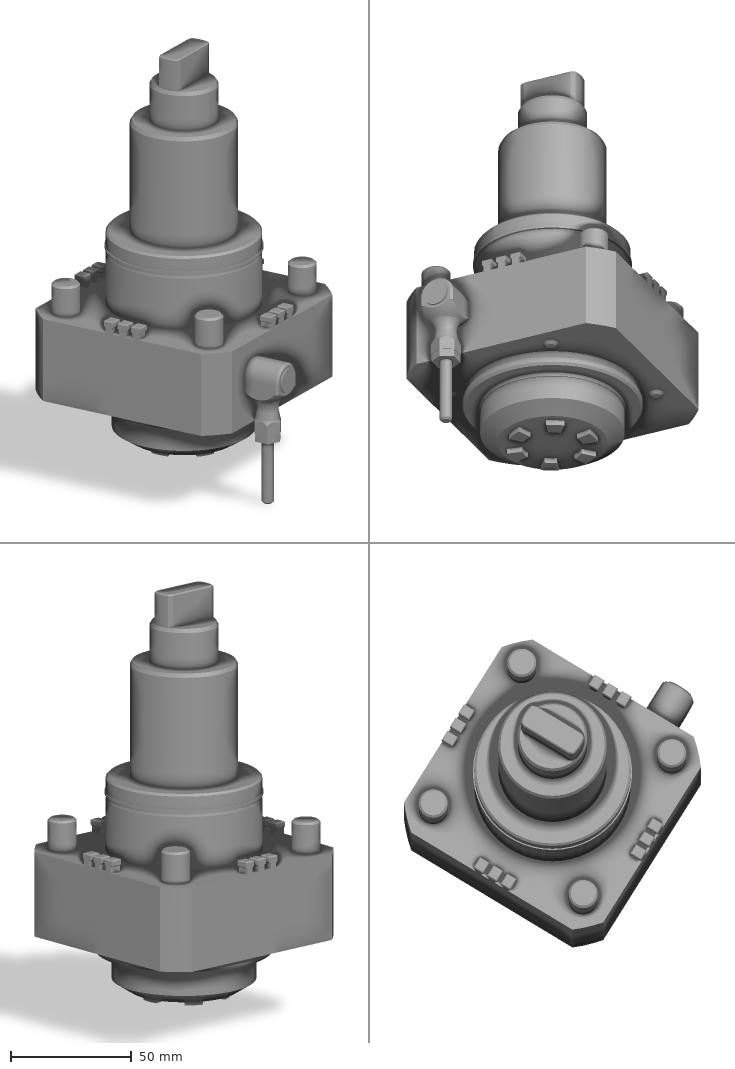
import cadquery as cq
import math


block_x = 96.0
block_y = 97.0
block_height = 36.3
corner_radius_about_axis = 62.0

collar_radius = 32.5
collar_top = 32.1
collar_chamfer = 0.9
ring_radius = 33.0
ring_bottom = 24.4
ring_top = 25.5
groove_radius = 32.0
groove_bottom = 22.5
sleeve_radius = 22.5
sleeve_top = 81.1
shaft_radius = 14.4
shaft_top = 98.1
step_chamfer_width = 0.9
step_chamfer_height = 1.6

blade_top = 112.1
blade_half_width = 5.0
blade_flat_half_length = 10.8
blade_end_half_width = 4.2
blade_end_radius = 13.4
blade_top_chamfer = 0.5

post_radius = 6.0
post_height = 13.3
post_chamfer = 0.9
post_x = 35.0
post_y = 36.5

clip_count = 4
prong_pitch = 6.6
prong_height = 5.4
prong_depth = 5.2
prong_stem_width = 3.0
prong_stem_height = 2.0
prong_head_width = 4.6
prong_head_bottom = 3.0
prong_chamfer = 0.4

spigot_radius = 36.6
spigot_bottom = -38.5
flange_radius = 37.4
flange_upper_edge = -40.2
flange_lower_edge = -41.8
flange_bottom = -42.9
cap_lip_radius = 30.4
cap_radius = 30.0
cap_lip_bottom = -44.6
cap_cone_top = -54.9
cap_bottom = -59.5
cap_bottom_radius = 22.8

lug_count = 6
lug_start_angle = 90.0
lug_inner_radius = 13.0
lug_outer_radius = 19.5
lug_half_angle = 11.5
lug_height = 2.3

screw_circle_radius = 43.0
screw_start_angle = 25.5
screw_count = 4
screw_base_radius = 3.2
screw_tip_radius = 1.8
screw_head_height = 1.2

elbow_y = -22.1
cable_x = 54.8
elbow_radius = 7.5
elbow_axis_z = -15.1
elbow_end_x = 64.2
elbow_end_chamfer = 0.9
plug_radius = 5.3
plug_end_x = 65.0
bowl_rim_radius = 11.0
bowl_rim_z = -19.5
bowl_middle_radius = 8.8
bowl_middle_z = -22.1
neck_upper_radius = 6.0
neck_upper_z = -24.4
neck_middle_radius = 5.0
neck_middle_z = -26.2
neck_waist_z = -28.4
neck_waist_radius = 4.5
neck_ring_height = 1.0
nut_sides = 6
nut_across_corners = 12.4
nut_top = -33.2
nut_bottom = -43.0
nut_chamfer_height = 1.8
nut_collar_top = -39.6
nut_collar_across_corners = 11.9
neck_foot_radius = 5.2
cable_radius = 2.6
cable_bottom = -71.0
cable_chamfer = 0.8


def cylinder(bottom, top, radius):
    return cq.Workplane("XY", origin=(0, 0, bottom)).circle(radius).extrude(top - bottom)


def hexagon(bottom, top, across_corners):
    return cq.Workplane("XY", origin=(0, 0, bottom)).polygon(nut_sides, across_corners).extrude(top - bottom)


def revolve_profile(profile):
    return profile.close().revolve(360, (0, 0, 0), (0, 1, 0))


def make_block():
    block = cq.Workplane("XY").box(block_x, block_y, block_height, centered=(True, True, False))
    round_limit = cq.Workplane("XY").circle(corner_radius_about_axis).extrude(block_height)
    return block.intersect(round_limit).translate((0, 0, -block_height))


def make_turned_body():
    """Tower, spigot and cap as one revolved profile (radius, z)."""
    profile = (
        cq.Workplane("XZ")
        .moveTo(0, cap_bottom)
        .lineTo(cap_bottom_radius, cap_bottom)
        .lineTo(cap_radius, cap_cone_top)
        .lineTo(cap_radius, cap_lip_bottom)
        .lineTo(cap_lip_radius, cap_lip_bottom)
        .lineTo(cap_lip_radius, flange_bottom)
        .lineTo(spigot_radius, flange_bottom)
        .lineTo(flange_radius, flange_lower_edge)
        .lineTo(flange_radius, flange_upper_edge)
        .lineTo(spigot_radius, spigot_bottom)
        .lineTo(spigot_radius, -block_height)
        .lineTo(collar_radius, -block_height)
        .lineTo(collar_radius, groove_bottom)
        .lineTo(groove_radius, ring_bottom)
        .lineTo(ring_radius, ring_bottom)
        .lineTo(ring_radius, ring_top)
        .lineTo(collar_radius, ring_top)
        .lineTo(collar_radius, collar_top - collar_chamfer)
        .lineTo(collar_radius - collar_chamfer, collar_top)
        .lineTo(sleeve_radius, collar_top)
        .lineTo(sleeve_radius, sleeve_top - step_chamfer_height)
        .lineTo(sleeve_radius - step_chamfer_width, sleeve_top)
        .lineTo(shaft_radius, sleeve_top)
        .lineTo(shaft_radius, shaft_top - step_chamfer_height)
        .lineTo(shaft_radius - step_chamfer_width, shaft_top)
        .lineTo(0, shaft_top)
    )
    return revolve_profile(profile)


def make_blade():
    end_y = math.sqrt(blade_end_radius**2 - blade_end_half_width**2)
    outline = (
        cq.Workplane("XY", origin=(0, 0, shaft_top))
        .moveTo(blade_half_width, -blade_flat_half_length)
        .lineTo(blade_half_width, blade_flat_half_length)
        .lineTo(blade_end_half_width, end_y)
        .threePointArc((0, blade_end_radius), (-blade_end_half_width, end_y))
        .lineTo(-blade_half_width, blade_flat_half_length)
        .lineTo(-blade_half_width, -blade_flat_half_length)
        .lineTo(-blade_end_half_width, -end_y)
        .threePointArc((0, -blade_end_radius), (blade_end_half_width, -end_y))
        .close()
    )
    blade = outline.extrude(blade_top - shaft_top)
    return blade.faces(">Z").chamfer(blade_top_chamfer)


def make_posts():
    post = cylinder(0, post_height, post_radius).faces(">Z").chamfer(post_chamfer)
    posts = cq.Workplane("XY")
    for x in (-post_x, post_x):
        for y in (-post_y, post_y):
            posts = posts.add(post.translate((x, y, 0)))
    return posts


def make_prong():
    """One prong on the -Y side: a stem that sweeps out into a wider, chamfered head."""
    stem = prong_stem_width / 2
    head = prong_head_width / 2
    quarter_middle = math.sqrt(0.5)
    fillet_x = head - (head - stem) * quarter_middle
    fillet_z = prong_stem_height + (prong_head_bottom - prong_stem_height) * quarter_middle
    profile = (
        cq.Workplane("XZ", origin=(0, -block_y / 2, 0))
        .moveTo(-stem, 0)
        .lineTo(stem, 0)
        .lineTo(stem, prong_stem_height)
        .threePointArc((fillet_x, fillet_z), (head, prong_head_bottom))
        .lineTo(head, prong_height)
        .lineTo(-head, prong_height)
        .lineTo(-head, prong_head_bottom)
        .threePointArc((-fillet_x, fillet_z), (-stem, prong_stem_height))
        .close()
    )
    return profile.extrude(-prong_depth).faces(">Z").chamfer(prong_chamfer)


def make_clips():
    prong = make_prong()
    clips = cq.Workplane("XY")
    for side in range(clip_count):
        on_x_side = side % 2 == 1
        side_shift = (block_y - block_x) / 2 if on_x_side else 0
        for step in (-1, 0, 1):
            placed = prong.translate((step * prong_pitch, side_shift, 0))
            clips = clips.add(placed.rotate((0, 0, 0), (0, 0, 1), side * 360 / clip_count))
    return clips


def make_lugs():
    half_angle = math.radians(lug_half_angle)
    cos_half = math.cos(half_angle)
    sin_half = math.sin(half_angle)
    lug = (
        cq.Workplane("XY", origin=(0, 0, cap_bottom - lug_height))
        .moveTo(lug_inner_radius * cos_half, -lug_inner_radius * sin_half)
        .lineTo(lug_outer_radius * cos_half, -lug_outer_radius * sin_half)
        .threePointArc((lug_outer_radius, 0), (lug_outer_radius * cos_half, lug_outer_radius * sin_half))
        .lineTo(lug_inner_radius * cos_half, lug_inner_radius * sin_half)
        .threePointArc((lug_inner_radius, 0), (lug_inner_radius * cos_half, -lug_inner_radius * sin_half))
        .close()
        .extrude(lug_height)
    )
    lugs = cq.Workplane("XY")
    for i in range(lug_count):
        lugs = lugs.add(lug.rotate((0, 0, 0), (0, 0, 1), lug_start_angle + i * 360 / lug_count))
    return lugs


def make_screw_heads():
    heads = cq.Workplane("XY")
    for i in range(screw_count):
        angle = math.radians(screw_start_angle + i * 360 / screw_count)
        center = (screw_circle_radius * math.cos(angle), screw_circle_radius * math.sin(angle), -block_height)
        head = (
            cq.Workplane("XY", origin=center)
            .circle(screw_base_radius)
            .workplane(offset=-screw_head_height)
            .circle(screw_tip_radius)
            .loft()
        )
        heads = heads.add(head)
    return heads


def make_elbow():
    """Round-topped arm along X whose underside is trimmed by a bowl about the cable axis."""
    wall_x = block_x / 2
    arm = (
        cq.Workplane("YZ", origin=(wall_x, elbow_y, 0))
        .moveTo(-elbow_radius, neck_upper_z)
        .lineTo(elbow_radius, neck_upper_z)
        .lineTo(elbow_radius, elbow_axis_z)
        .threePointArc((0, elbow_axis_z + elbow_radius), (-elbow_radius, elbow_axis_z))
        .close()
        .extrude(elbow_end_x - wall_x)
        .faces(">X")
        .chamfer(elbow_end_chamfer)
    )
    bowl = revolve_profile(
        cq.Workplane("XZ")
        .moveTo(0, 0)
        .lineTo(2 * bowl_rim_radius, 0)
        .lineTo(2 * bowl_rim_radius, bowl_rim_z)
        .lineTo(bowl_rim_radius, bowl_rim_z)
        .threePointArc((bowl_middle_radius, bowl_middle_z), (neck_upper_radius, neck_upper_z))
        .lineTo(0, neck_upper_z)
    ).translate((cable_x, elbow_y, 0))
    plug = (
        cq.Workplane("YZ", origin=(wall_x, elbow_y, elbow_axis_z))
        .circle(plug_radius)
        .extrude(plug_end_x - wall_x)
    )
    return arm.intersect(bowl).union(plug)


def make_cable_gland():
    """Waisted neck, hexagonal nut and cable below the elbow."""
    neck = revolve_profile(
        cq.Workplane("XZ")
        .moveTo(0, elbow_axis_z)
        .lineTo(neck_upper_radius, elbow_axis_z)
        .lineTo(neck_upper_radius, neck_upper_z)
        .threePointArc((neck_middle_radius, neck_middle_z), (neck_waist_radius, neck_waist_z))
        .lineTo(neck_waist_radius, neck_waist_z - neck_ring_height)
        .lineTo(neck_foot_radius, nut_top)
        .lineTo(0, nut_top)
    )
    collar = hexagon(nut_bottom, nut_collar_top, nut_collar_across_corners)
    nut = hexagon(nut_collar_top, nut_top, nut_across_corners)
    nut_radius = nut_across_corners / 2
    nut_round = revolve_profile(
        cq.Workplane("XZ")
        .moveTo(0, nut_collar_top)
        .lineTo(nut_radius, nut_collar_top)
        .lineTo(nut_radius, nut_top - nut_chamfer_height)
        .lineTo(neck_foot_radius, nut_top)
        .lineTo(0, nut_top)
    )
    cable = cylinder(cable_bottom, nut_bottom, cable_radius).faces("<Z").chamfer(cable_chamfer)
    gland = neck.union(nut.intersect(nut_round)).union(collar).union(cable)
    return gland.translate((cable_x, elbow_y, 0))


features = [
    make_posts(),
    make_clips(),
    make_lugs(),
    make_screw_heads(),
    make_elbow(),
    make_cable_gland(),
]

result = make_block().union(make_turned_body()).union(make_blade())
for feature in features:
    for body in feature.vals():
        result = result.union(cq.Workplane(body))